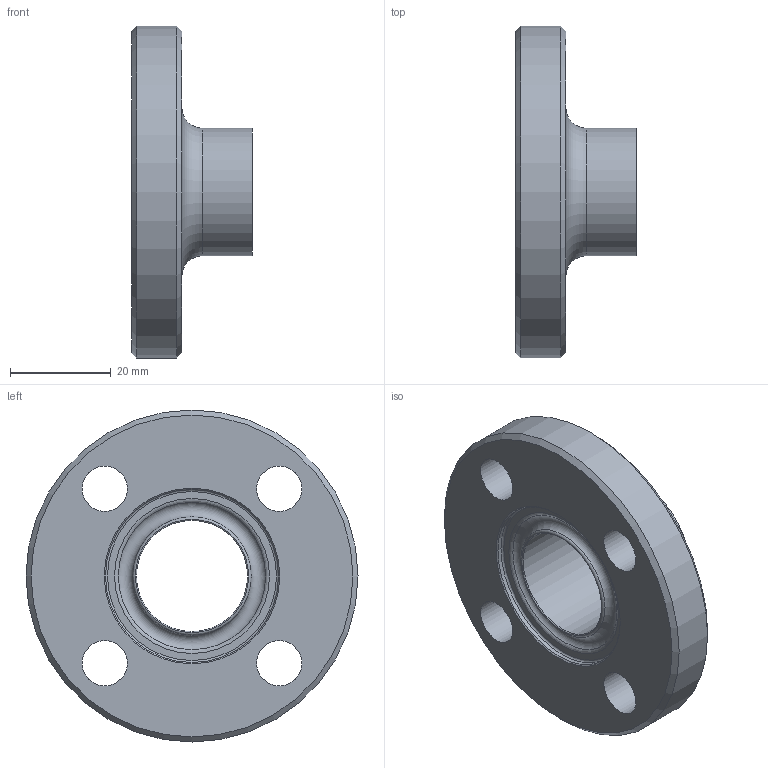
import cadquery as cq
import math

flange_diameter = 66.0
flange_thickness = 10.0
flange_chamfer = 1.0
neck_diameter = 25.4
neck_fillet = 4.0
total_length = 24.0
bore_diameter = 22.1

bolt_hole_diameter = 9.0
bolt_circle_diameter = 49.0
bolt_hole_count = 4
first_bolt_angle = 45.0

recess_diameter = 34.4
recess_depth = 1.5
recess_mouth_chamfer = 0.25
recess_corner_radius = 0.4

groove_radius = 1.6
groove_edge_radius = 0.9
recess_floor_inner_radius = 15.4

lip_height = 0.5
lip_outer_round = 0.53
lip_inner_round = 0.2

flange_radius = flange_diameter / 2
neck_radius = neck_diameter / 2
bore_radius = bore_diameter / 2
recess_radius = recess_diameter / 2
arc_middle = math.sqrt(0.5)


def round_middle(center_x, center_r, radius, side_x, side_r):
    """Middle point of a quarter round; the sides (+1 or -1) choose the quadrant."""
    offset = radius * arc_middle
    return (center_x + side_x * offset, center_r + side_r * offset)


def make_body():
    """Solid flange with its neck, from a half profile of (X, radius) points."""
    neck_start = flange_thickness + neck_fillet
    fillet_top = neck_radius + neck_fillet
    return (
        cq.Workplane("XY")
        .moveTo(0, 0)
        .lineTo(0, flange_radius - flange_chamfer)
        .lineTo(flange_chamfer, flange_radius)
        .lineTo(flange_thickness - flange_chamfer, flange_radius)
        .lineTo(flange_thickness, flange_radius - flange_chamfer)
        .lineTo(flange_thickness, fillet_top)
        .threePointArc(
            round_middle(neck_start, fillet_top, neck_fillet, -1, -1),
            (neck_start, neck_radius),
        )
        .lineTo(total_length, neck_radius)
        .lineTo(total_length, 0)
        .close()
        .revolve(360, (0, 0, 0), (1, 0, 0))
    )


def tangent_center(first, first_distance, second, second_distance):
    """Point at given distances from two centers, on the side nearer the sealing face."""
    span_x = second[0] - first[0]
    span_r = second[1] - first[1]
    span = math.hypot(span_x, span_r)
    along = (first_distance**2 - second_distance**2 + span**2) / (2 * span)
    across = math.sqrt(first_distance**2 - along**2)
    return (
        first[0] + (along * span_x + across * span_r) / span,
        first[1] + (along * span_r - across * span_x) / span,
    )


def point_toward(start, target, distance):
    """Point at a distance from start on the line to target."""
    span = math.dist(start, target)
    return (
        start[0] + (target[0] - start[0]) * distance / span,
        start[1] + (target[1] - start[1]) * distance / span,
    )


def arc_middle_point(center, start, end, radius):
    """Middle point of the short arc between two points on a circle."""
    chord_middle = ((start[0] + end[0]) / 2, (start[1] + end[1]) / 2)
    return point_toward(center, chord_middle, radius)


def make_inner_cavity():
    """Bore, recess and seal groove as one revolved cutter."""
    corner_x = recess_depth - recess_corner_radius
    corner_r = recess_radius - recess_corner_radius

    edge_center = (recess_depth + groove_edge_radius, recess_floor_inner_radius)
    lip_top = recess_depth - lip_height
    lip_crest = (lip_top, bore_radius + lip_inner_round)
    lip_center = (lip_top + lip_outer_round, lip_crest[1])
    lip_inner_center = (lip_top + lip_inner_round, lip_crest[1])
    groove_center = tangent_center(
        edge_center,
        groove_radius + groove_edge_radius,
        lip_center,
        groove_radius + lip_outer_round,
    )
    edge_start = (recess_depth, recess_floor_inner_radius)
    groove_start = point_toward(groove_center, edge_center, groove_radius)
    groove_end = point_toward(groove_center, lip_center, groove_radius)
    groove_bottom = (groove_center[0] + groove_radius, groove_center[1])

    return (
        cq.Workplane("XY")
        .moveTo(0, 0)
        .lineTo(0, recess_radius + recess_mouth_chamfer)
        .lineTo(recess_mouth_chamfer, recess_radius)
        .lineTo(corner_x, recess_radius)
        .threePointArc(
            round_middle(corner_x, corner_r, recess_corner_radius, 1, 1),
            (recess_depth, corner_r),
        )
        .lineTo(*edge_start)
        .threePointArc(
            arc_middle_point(edge_center, edge_start, groove_start, groove_edge_radius),
            groove_start,
        )
        .threePointArc(groove_bottom, groove_end)
        .threePointArc(
            arc_middle_point(lip_center, groove_end, lip_crest, lip_outer_round),
            lip_crest,
        )
        .threePointArc(
            round_middle(*lip_inner_center, lip_inner_round, -1, -1),
            (lip_inner_center[0], bore_radius),
        )
        .lineTo(total_length, bore_radius)
        .lineTo(total_length, 0)
        .close()
        .revolve(360, (0, 0, 0), (1, 0, 0))
    )


def make_bolt_holes():
    """Through holes evenly spaced on the bolt circle."""
    return (
        cq.Workplane("YZ")
        .polarArray(bolt_circle_diameter / 2, first_bolt_angle, 360, bolt_hole_count)
        .circle(bolt_hole_diameter / 2)
        .extrude(flange_thickness)
    )


result = make_body().cut(make_inner_cavity()).cut(make_bolt_holes())